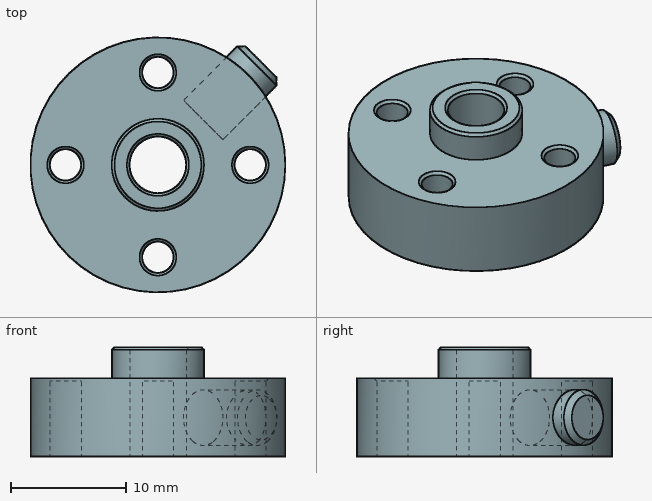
import cadquery as cq

disc_diameter = 22.1
disc_height = 6.8
total_height = 9.5
hub_diameter = 8.0
bore_diameter = 4.88
edge_chamfer = 0.25

hole_count = 4
hole_diameter = 2.7
hole_circle_radius = 8.0

screw_angle = 45.0
screw_diameter = 4.82
screw_outer_radius = 12.62
screw_inner_radius = 5.52
screw_chamfer = 0.49
screw_axis_height = disc_height / 2


def chamfered_hole(diameter, depth):
    """Cutter for a vertical hole from z = 0 to depth, with its top edge chamfered."""
    straight = cq.Workplane("XY").circle(diameter / 2).extrude(depth)
    countersink = cq.Solid.makeCone(
        diameter / 2,
        diameter / 2 + edge_chamfer,
        edge_chamfer,
        pnt=cq.Vector(0, 0, depth - edge_chamfer),
    )
    return straight.union(countersink)


def place_radially(body):
    """Turn a body built along +X to the screw angle, at the screw height."""
    turned = body.rotate((0, 0, 0), (0, 0, 1), screw_angle)
    return turned.translate((0, 0, screw_axis_height))


def make_screw():
    """Plain round screw with a chamfered outer end."""
    shoulder = screw_outer_radius - screw_chamfer
    profile = (
        cq.Workplane("XZ")
        .moveTo(screw_inner_radius, 0)
        .lineTo(screw_inner_radius, screw_diameter / 2)
        .lineTo(shoulder, screw_diameter / 2)
        .lineTo(screw_outer_radius, screw_diameter / 2 - screw_chamfer)
        .lineTo(screw_outer_radius, 0)
        .close()
    )
    return place_radially(profile.revolve(360, (0, 0, 0), (1, 0, 0)))


def make_screw_hole():
    """Cutter for the radial screw hole, from the screw's inner end out through the rim."""
    length = screw_outer_radius - screw_inner_radius
    hole = (
        cq.Workplane("YZ", origin=(screw_inner_radius, 0, 0))
        .circle(screw_diameter / 2)
        .extrude(length)
    )
    return place_radially(hole)


def make_housing():
    """Disc and hub with the bore, the mounting holes and the screw hole."""
    disc = cq.Workplane("XY").circle(disc_diameter / 2).extrude(disc_height)
    hub = (
        cq.Workplane("XY")
        .circle(hub_diameter / 2)
        .extrude(total_height)
        .faces(">Z")
        .chamfer(edge_chamfer)
    )
    body = disc.union(hub).cut(chamfered_hole(bore_diameter, total_height))

    mounting_hole = chamfered_hole(hole_diameter, disc_height)
    for index in range(hole_count):
        angle = index * 360 / hole_count
        moved = mounting_hole.translate((hole_circle_radius, 0, 0))
        body = body.cut(moved.rotate((0, 0, 0), (0, 0, 1), angle))
    return body.cut(make_screw_hole())


housing = make_housing()
screw = make_screw()
result = cq.Compound.makeCompound([housing.val(), screw.val()])